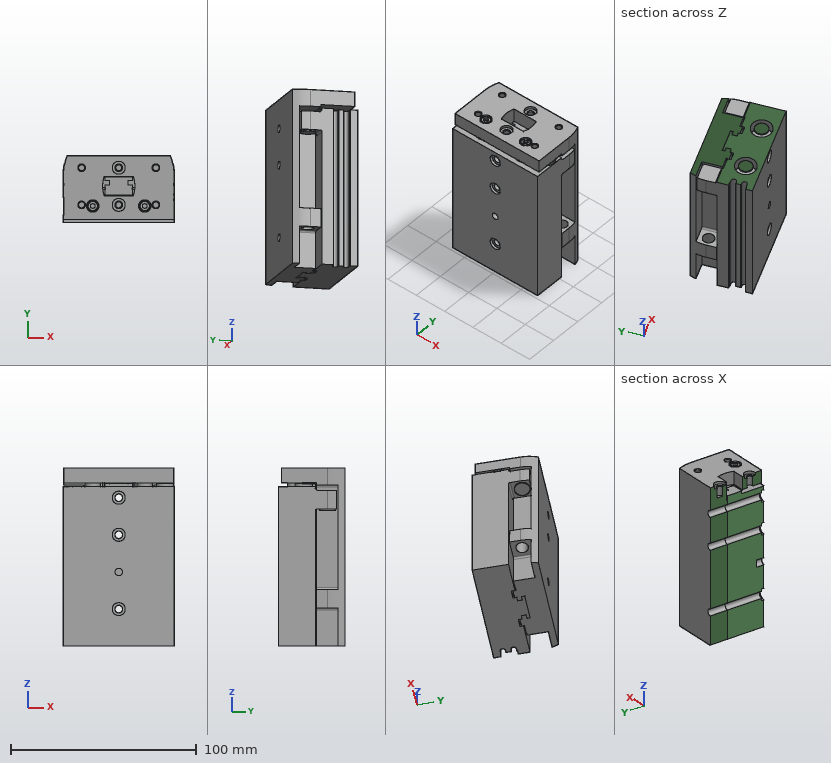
import cadquery as cq
import math

WIDTH = 60.0
DEPTH = 36.0
HEIGHT = 96.0

HOUSING_HEIGHT = 86.0
HOUSING_BACK_Y = 20.0
HOUSING_SIDE_X = WIDTH / 2

SLIDE_SIDE_X = 29.7
SLIDE_FRONT_Y = 1.6
END_PLATE_BOTTOM_Z = 88.0
BACK_PLATE_FRONT_Y = 32.25
WEB_FRONT_Y = 20.5
WEB_SIDE_X = 18.5
POCKET_TOP_Z = 86.8
POCKET_FILLET = 1.0

FLANK_START_Y = 26.4
FLANK_INSET = 1.85

RAIL_HALF_WIDTH = 7.4
RAIL_BACK_Y = 24.5
RAIL_FRONT_Y = 14.8
RAIL_TOP_Z = 87.6
BALL_GROOVE_WIDTH = 2.6
BALL_GROOVE_DEPTH = 2.3
BALL_GROOVE_Y = 21.4
STEP_HALF_WIDTH = 12.0
STEP_HOUSING_Y = 18.0
STEP_SLIDE_Y = 18.85
STEP_TOP_Z = 85.0

SLOT_YS = (5.75, 11.75)
SLOT_MOUTH_WIDTH = 3.5
SLOT_MOUTH_X = -28.2
SLOT_ROUND_DIAMETER = 2.85
SLOT_ROUND_X = -26.4
LAND_X = -27.7
LAND_CHAMFER = 0.3

SHOULDER_INNER_X = 19.2
SHOULDER_BACK_Y = 31.4
SHOULDER_BOTTOM_Z = 73.9
SHOULDER_TOP_Z = 84.0
SHOULDER_ROOT_FILLET = 1.0
LUG_BOTTOM_Z = 20.5
LUG_TOP_Z = 30.6
STOP_X = 24.7
STOP_Y = 26.5
STOP_DIAMETER = 8.5
STOP_PROJECTION = 0.7
LUG_HOLE_DIAMETER = 6.7

BUMPER_X = 14.0
BUMPER_Y = 8.9
BUMPER_DIAMETER = 8.1
BUMPER_BOTTOM_Z = 84.0
WELL_DIAMETER = 12.0
WELL_DEPTH = 8.0

PAD_DIAMETER = 9.5
PAD_X = 25.0
PAD_Y = 13.7
PAD_HEIGHT = 1.6

HOLE_PITCH = 20.0
MOUNT_HOLE_DIAMETER = 4.0
MOUNT_HOLE_ZS = (HOLE_PITCH, 3 * HOLE_PITCH, 4 * HOLE_PITCH)
PIN_HOLE_Z = 2 * HOLE_PITCH
PIN_HOLE_DEPTH = 5.0
COUNTERBORE_DIAMETER = 7.0
COUNTERBORE_DEPTH = 1.6

TAP_ROW_YS = (9.5, 29.5)
TAP_CORE_DIAMETER = 3.24
TAP_MOUTH_DIAMETER = 4.13
TAP_DEPTH = 7.5
SCREW_BORE_DIAMETER = 6.7
SCREW_BORE_DEPTH = 1.0
SCREW_HEAD_DIAMETER = 5.5
SCREW_HEAD_DROP = 0.25
SCREW_HEAD_CHAMFER = 0.25
SCREW_HEX_CORNERS = 2.9
SCREW_HEX_DEPTH = 1.5
SCREW_HEX_TURN = 30.0
WINDOW_FRONT_Y = 14.4
WINDOW_BACK_Y = 24.9
WINDOW_END_X = 7.8
WINDOW_MIDDLE_X = 8.7


def block(x0, x1, y0, y1, z0, z1):
    """Box between two opposite corners."""
    return cq.Workplane("XY").box(x1 - x0, y1 - y0, z1 - z0, centered=False).translate((x0, y0, z0))


def rod(x, y, diameter, z0, z1):
    """Vertical cylinder."""
    return cq.Workplane("XY", origin=(x, y, z0)).circle(diameter / 2).extrude(z1 - z0)


def bore(z, diameter, length):
    """Cylinder on the centre line, running from the front face toward +Y."""
    return cq.Workplane("XZ", origin=(0, 0, z)).circle(diameter / 2).extrude(-length)


def rounded_outline(half_width, front_y):
    """Prism with straight flanks that curve inward, tangentially, to the back face."""
    run = DEPTH - FLANK_START_Y
    radius = (run**2 + FLANK_INSET**2) / (2 * FLANK_INSET)
    half_angle = math.asin(run / radius) / 2
    mid_x = half_width - radius * (1 - math.cos(half_angle))
    mid_y = FLANK_START_Y + radius * math.sin(half_angle)
    back_x = half_width - FLANK_INSET
    return (
        cq.Workplane("XY")
        .moveTo(-half_width, front_y)
        .lineTo(half_width, front_y)
        .lineTo(half_width, FLANK_START_Y)
        .threePointArc((mid_x, mid_y), (back_x, DEPTH))
        .lineTo(-back_x, DEPTH)
        .threePointArc((-mid_x, mid_y), (-half_width, FLANK_START_Y))
        .close()
        .extrude(HEIGHT)
    )


def mirrored_pair(shape):
    """The shape and its mirror image across the YZ plane."""
    return shape, shape.mirror("YZ")


def sensor_slot(y):
    """Wide mouth that narrows to a round-bottomed channel, along the full height."""
    mouth = block(
        -HOUSING_SIDE_X, SLOT_MOUTH_X, y - SLOT_MOUTH_WIDTH / 2, y + SLOT_MOUTH_WIDTH / 2, 0, HOUSING_HEIGHT
    )
    half = SLOT_ROUND_DIAMETER / 2
    channel = block(SLOT_MOUTH_X, SLOT_ROUND_X, y - half, y + half, 0, HOUSING_HEIGHT)
    return mouth.union(channel).union(rod(SLOT_ROUND_X, y, SLOT_ROUND_DIAMETER, 0, HOUSING_HEIGHT))


def guide_rail():
    """Rail with one ball groove in each flank."""
    rail = block(-RAIL_HALF_WIDTH, RAIL_HALF_WIDTH, RAIL_FRONT_Y, RAIL_BACK_Y, 0, RAIL_TOP_Z)
    groove = block(
        RAIL_HALF_WIDTH - BALL_GROOVE_DEPTH,
        RAIL_HALF_WIDTH,
        BALL_GROOVE_Y - BALL_GROOVE_WIDTH / 2,
        BALL_GROOVE_Y + BALL_GROOVE_WIDTH / 2,
        0,
        RAIL_TOP_Z,
    )
    for side in mirrored_pair(groove):
        rail = rail.cut(side)
    return rail


def housing_shoulder():
    """+X shoulder behind the main wall, with the end of its stop projecting below."""
    root_y = HOUSING_BACK_Y
    shoulder = (
        cq.Workplane("YZ", origin=(SHOULDER_INNER_X, 0, 0))
        .moveTo(root_y, SHOULDER_BOTTOM_Z - SHOULDER_ROOT_FILLET)
        .radiusArc((root_y + SHOULDER_ROOT_FILLET, SHOULDER_BOTTOM_Z), SHOULDER_ROOT_FILLET)
        .lineTo(SHOULDER_BACK_Y, SHOULDER_BOTTOM_Z)
        .lineTo(SHOULDER_BACK_Y, SHOULDER_TOP_Z)
        .lineTo(root_y + SHOULDER_ROOT_FILLET, SHOULDER_TOP_Z)
        .lineTo(root_y, SHOULDER_TOP_Z + SHOULDER_ROOT_FILLET)
        .close()
        .extrude(HOUSING_SIDE_X - SHOULDER_INNER_X)
        .intersect(rounded_outline(HOUSING_SIDE_X, 0))
    )
    return shoulder.union(
        rod(STOP_X, STOP_Y, STOP_DIAMETER, SHOULDER_BOTTOM_Z - STOP_PROJECTION, SHOULDER_TOP_Z)
    )


def make_housing():
    body = block(-HOUSING_SIDE_X, HOUSING_SIDE_X, 0, HOUSING_BACK_Y, 0, HOUSING_HEIGHT)
    for y in SLOT_YS:
        body = body.cut(sensor_slot(y))
    body = body.cut(block(-HOUSING_SIDE_X, LAND_X, *SLOT_YS, 0, HOUSING_HEIGHT))
    land_edges = cq.selectors.BoxSelector(
        (LAND_X - LAND_CHAMFER, SLOT_YS[0], 0), (LAND_X + LAND_CHAMFER, SLOT_YS[1], HOUSING_HEIGHT)
    )
    body = body.edges("|Z").edges(land_edges).chamfer(LAND_CHAMFER)
    body = body.cut(
        block(-STEP_HALF_WIDTH, STEP_HALF_WIDTH, STEP_HOUSING_Y, HOUSING_BACK_Y, 0, HOUSING_HEIGHT)
    )
    body = body.union(guide_rail())
    for shoulder in mirrored_pair(housing_shoulder()):
        body = body.union(shoulder)

    well = rod(BUMPER_X, BUMPER_Y, WELL_DIAMETER, HOUSING_HEIGHT - WELL_DEPTH, HOUSING_HEIGHT)
    for side in mirrored_pair(well):
        body = body.cut(side)
    body = body.union(rod(PAD_X, PAD_Y, PAD_DIAMETER, HOUSING_HEIGHT, HOUSING_HEIGHT + PAD_HEIGHT))

    for z in MOUNT_HOLE_ZS:
        body = body.cut(bore(z, MOUNT_HOLE_DIAMETER, DEPTH))
        body = body.cut(bore(z, COUNTERBORE_DIAMETER, COUNTERBORE_DEPTH))
    return body.cut(bore(PIN_HOLE_Z, MOUNT_HOLE_DIAMETER, PIN_HOLE_DEPTH))


def side_pocket(z0, z1):
    """Open space beside the web on +X, its edges along the web rounded at both ends."""
    pocket = block(WEB_SIDE_X, HOUSING_SIDE_X, 0, BACK_PLATE_FRONT_Y, z0, z1)
    return pocket.edges("|Y and <X").fillet(POCKET_FILLET)


def window():
    """Bow-ended opening through the end plate and on down to the top of the stepped strip."""
    middle_y = (WINDOW_FRONT_Y + WINDOW_BACK_Y) / 2
    return (
        cq.Workplane("XY", origin=(0, 0, STEP_TOP_Z))
        .moveTo(-WINDOW_END_X, WINDOW_FRONT_Y)
        .lineTo(WINDOW_END_X, WINDOW_FRONT_Y)
        .threePointArc((WINDOW_MIDDLE_X, middle_y), (WINDOW_END_X, WINDOW_BACK_Y))
        .lineTo(-WINDOW_END_X, WINDOW_BACK_Y)
        .threePointArc((-WINDOW_MIDDLE_X, middle_y), (-WINDOW_END_X, WINDOW_FRONT_Y))
        .close()
        .extrude(HEIGHT - STEP_TOP_Z)
    )


def tapped_hole(x, y, mouth_z):
    """Blind core hole with a countersunk mouth at mouth_z."""
    chamfer = (TAP_MOUTH_DIAMETER - TAP_CORE_DIAMETER) / 2
    core = rod(x, y, TAP_CORE_DIAMETER, HEIGHT - TAP_DEPTH, mouth_z)
    mouth = (
        cq.Workplane("XY", origin=(x, y, mouth_z))
        .circle(TAP_MOUTH_DIAMETER / 2)
        .workplane(offset=-chamfer)
        .circle(TAP_CORE_DIAMETER / 2)
        .loft()
    )
    return core.union(mouth)


def screw_recess(x):
    """Bore around a socket screw head: what is cut away, leaving the head standing."""
    bore_ring = rod(x, BUMPER_Y, SCREW_BORE_DIAMETER, HEIGHT - SCREW_BORE_DEPTH, HEIGHT)
    head_top_z = HEIGHT - SCREW_HEAD_DROP
    head = rod(x, BUMPER_Y, SCREW_HEAD_DIAMETER, HEIGHT - SCREW_BORE_DEPTH, head_top_z)
    head = head.faces(">Z").chamfer(SCREW_HEAD_CHAMFER)
    socket = (
        cq.Workplane("XY", origin=(x, BUMPER_Y, head_top_z - SCREW_HEX_DEPTH))
        .transformed(rotate=(0, 0, SCREW_HEX_TURN))
        .polygon(6, SCREW_HEX_CORNERS)
        .extrude(SCREW_HEX_DEPTH)
    )
    return bore_ring.cut(head).union(socket)


def make_slide():
    body = rounded_outline(SLIDE_SIDE_X, SLIDE_FRONT_Y)
    body = body.cut(block(-WIDTH, WIDTH, 0, WEB_FRONT_Y, 0, END_PLATE_BOTTOM_Z))
    body = body.union(
        block(-STEP_HALF_WIDTH, STEP_HALF_WIDTH, STEP_SLIDE_Y, WEB_FRONT_Y, 0, STEP_TOP_Z)
    )
    for z0, z1 in ((-LUG_BOTTOM_Z, LUG_BOTTOM_Z), (LUG_TOP_Z, POCKET_TOP_Z)):
        for pocket in mirrored_pair(side_pocket(z0, z1)):
            body = body.cut(pocket)
    body = body.cut(guide_rail())
    body = body.cut(window())

    lug_hole = rod(STOP_X, STOP_Y, LUG_HOLE_DIAMETER, LUG_BOTTOM_Z, LUG_TOP_Z)
    bumper = rod(BUMPER_X, BUMPER_Y, BUMPER_DIAMETER, BUMPER_BOTTOM_Z, END_PLATE_BOTTOM_Z)
    for hole, boss in zip(mirrored_pair(lug_hole), mirrored_pair(bumper)):
        body = body.cut(hole).union(boss)
    for x in (-BUMPER_X, BUMPER_X):
        body = body.cut(screw_recess(x))

    for y in TAP_ROW_YS:
        for x in (-HOLE_PITCH, HOLE_PITCH):
            body = body.cut(tapped_hole(x, y, HEIGHT))
        counterbore_floor_z = HEIGHT - COUNTERBORE_DEPTH
        body = body.cut(rod(0, y, COUNTERBORE_DIAMETER, counterbore_floor_z, HEIGHT))
        body = body.cut(tapped_hole(0, y, counterbore_floor_z))
    for z in MOUNT_HOLE_ZS:
        body = body.cut(bore(z, MOUNT_HOLE_DIAMETER, DEPTH))
    return body


slide = make_slide()
housing = make_housing()
result = cq.Compound.makeCompound([housing.val(), slide.val()])